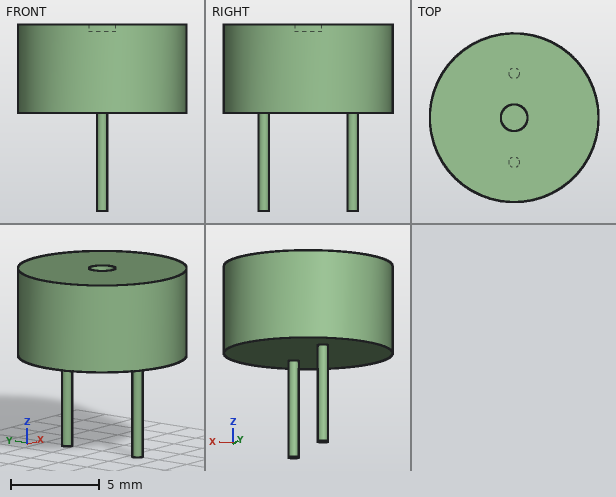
import cadquery as cq

total_height = 10.5
housing_diameter = 9.5
housing_height = 5.0

sound_hole_diameter = 1.5
sound_hole_depth = 0.4

lead_diameter = 0.6
lead_spacing = 5.0
lead_length = total_height - housing_height


def make_housing():
    """Round housing standing on Z = 0, with a blind sound hole in its top."""
    return (
        cq.Workplane("XY")
        .circle(housing_diameter / 2)
        .extrude(housing_height)
        .faces(">Z")
        .workplane()
        .hole(sound_hole_diameter, sound_hole_depth)
    )


def make_lead(y_position):
    """Straight round lead hanging from the underside of the housing."""
    return cq.Workplane("XY").center(0, y_position).circle(lead_diameter / 2).extrude(-lead_length)


housing = make_housing()

leads = []
for side in (-1, 1):
    leads.append(make_lead(side * lead_spacing / 2).val())

result = cq.Compound.makeCompound([housing.val(), *leads])